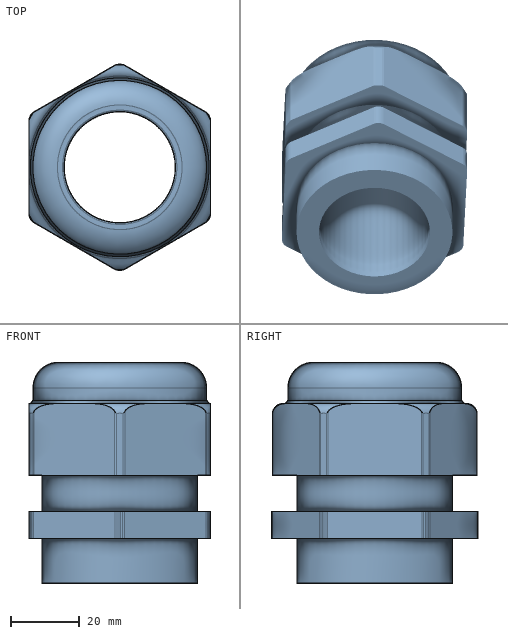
import cadquery as cq
import math

across_flats = 53.0
neck_radius = 22.75
bore_radius = 16.2
hex_sides = 6
half_side_angle = math.pi / hex_sides

flange_bottom = 13.0
flange_top = 21.0
nut_bottom = 31.5
hex_top = 52.5
collar_top = 53.4
overall_height = 64.5

flange_corner_half_width = 1.366
flange_corner_tilts = [20, 10, 0, -10, -20]
nut_corner_half_width = 1.47
nut_centre_flat_half_width = 1.0
nut_side_tilt = 15

crown_radius = 29.9
crown_arc_radius = 3.25
collar_base_radius = 26.1
dome_radius = 25.35
dome_arc_radius = 7.5
dome_flat_radius = 18.2

lip_round = 0.5
lip_bottom = 61.5
cavity_radius = 21.65
cavity_top_radius = 22.5

rim_top = 56.5
recess_floor = 56.0
recess_floor_radius = 19.8
recess_top_radius = recess_floor_radius + (rim_top - recess_floor)


def corner_steps(half_width, tilts, flat_widths):
    """Points (distance across the corner, rise outward from the first point), one more than flats."""
    along = -half_width
    rise = 0.0
    points = [(along, rise)]
    for tilt, width in zip(tilts, flat_widths):
        along += width
        rise += width * math.tan(math.radians(tilt))
        points.append((along, rise))
    return points


def broken_hexagon(corner_points):
    """Closed hexagon outline with flats facing +X and -X and the given break at each corner."""
    sharp_radius = across_flats / 2 / math.cos(half_side_angle)
    half_width = -corner_points[0][0]
    start_radius = sharp_radius - half_width * math.tan(half_side_angle)
    outline = []
    for corner in range(hex_sides):
        turn = -2 * half_side_angle * corner
        for along, rise in corner_points:
            out = start_radius + rise
            x = along * math.cos(turn) - out * math.sin(turn)
            y = along * math.sin(turn) + out * math.cos(turn)
            outline.append((x, y))
    return cq.Workplane("XY").polyline(outline).close()


def flange_hexagon():
    """Corners broken by equally long flats."""
    runs = [math.cos(math.radians(tilt)) for tilt in flange_corner_tilts]
    flat_length = 2 * flange_corner_half_width / sum(runs)
    widths = [flat_length * run for run in runs]
    return broken_hexagon(corner_steps(flange_corner_half_width, flange_corner_tilts, widths))


def nut_hexagon():
    """Corners broken by a wide flat between two narrow ones."""
    side = nut_corner_half_width - nut_centre_flat_half_width
    widths = [side, 2 * nut_centre_flat_half_width, side]
    tilts = [nut_side_tilt, 0, -nut_side_tilt]
    return broken_hexagon(corner_steps(nut_corner_half_width, tilts, widths))


def revolved(half_section):
    """Turn a closed half section (radius, height) about the Z axis."""
    return half_section.close().revolve(360, (0, 0, 0), (0, 1, 0))


def make_body():
    """Tube with a hexagonal flange; above its shoulder it fills the nut up to the rim."""
    tube = revolved(
        cq.Workplane("XZ")
        .moveTo(bore_radius, 0)
        .lineTo(neck_radius, 0)
        .lineTo(neck_radius, nut_bottom)
        .lineTo(cavity_radius, nut_bottom)
        .lineTo(cavity_radius, rim_top)
        .lineTo(recess_top_radius, rim_top)
        .lineTo(recess_floor_radius, recess_floor)
        .lineTo(bore_radius, recess_floor)
    )
    flange = (
        flange_hexagon()
        .extrude(flange_top - flange_bottom)
        .translate((0, 0, flange_bottom))
        .cut(cq.Workplane("XY").circle(bore_radius).extrude(overall_height))
    )
    return tube.union(flange)


def make_nut():
    """Domed hexagonal cap nut with an inward lip at its top."""
    turned = revolved(
        cq.Workplane("XZ")
        .moveTo(cavity_radius, nut_bottom)
        .lineTo(crown_radius, nut_bottom)
        .lineTo(crown_radius, hex_top - crown_arc_radius)
        .radiusArc((crown_radius - crown_arc_radius, hex_top), -crown_arc_radius)
        .lineTo(collar_base_radius, hex_top)
        .lineTo(dome_radius, collar_top)
        .lineTo(dome_radius, overall_height - dome_arc_radius)
        .radiusArc((dome_flat_radius, overall_height), -dome_arc_radius)
        .lineTo(bore_radius + lip_round, overall_height)
        .radiusArc((bore_radius, overall_height - lip_round), -lip_round)
        .lineTo(bore_radius, lip_bottom)
        .lineTo(cavity_top_radius, lip_bottom)
        .lineTo(cavity_radius, rim_top)
    )
    prism = nut_hexagon().extrude(overall_height)
    return turned.intersect(prism)


body = make_body().solids()
nut = make_nut().solids()
result = cq.Compound.makeCompound([body.val(), nut.val()])